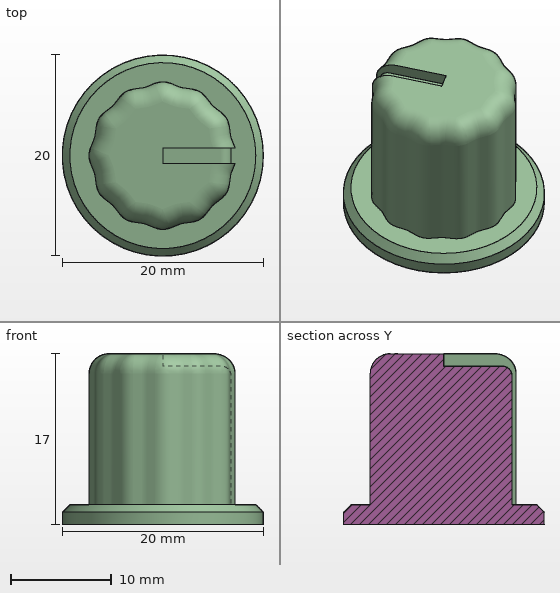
import cadquery as cq
import math

flange_diameter = 20.0
flange_height = 2.0
flange_chamfer = 0.75

total_height = 17.0
lobe_count = 12
star_tip_radius = 7.5
star_valley_radius = 7.0
flute_rounding = 2.0
crown_fillet = 2.0

groove_width = 1.52
groove_depth = 1.25
groove_wall_x = 6.8
groove_corner_radius = 1.0


def make_flange():
    """Round base disc with a chamfered upper rim."""
    disc = cq.Workplane("XY").circle(flange_diameter / 2).extrude(flange_height)
    return disc.faces(">Z").chamfer(flange_chamfer)


def star_points():
    """Alternating tips and valleys, starting with a tip on +X."""
    points = []
    for index in range(2 * lobe_count):
        radius = star_tip_radius if index % 2 == 0 else star_valley_radius
        angle = math.pi * index / lobe_count
        points.append((radius * math.cos(angle), radius * math.sin(angle)))
    return points


def make_grip():
    """Fluted column standing on the bottom plane, with a rounded crown."""
    star = cq.Workplane("XY").polyline(star_points()).close().extrude(total_height)
    fluted = star.edges("|Z").fillet(flute_rounding)
    return fluted.faces(">Z").edges().fillet(crown_fillet)


def make_groove():
    """Tool for the pointer groove, drawn in side profile and extruded across its width."""
    floor_z = total_height - groove_depth
    arc_x = groove_wall_x - groove_corner_radius
    arc_z = floor_z - groove_corner_radius
    half_diagonal = groove_corner_radius * math.sqrt(0.5)
    return (
        cq.Workplane("XZ")
        .moveTo(0, total_height)
        .lineTo(0, floor_z)
        .lineTo(arc_x, floor_z)
        .threePointArc((arc_x + half_diagonal, arc_z + half_diagonal), (groove_wall_x, arc_z))
        .lineTo(groove_wall_x, flange_height)
        .lineTo(star_tip_radius, flange_height)
        .lineTo(star_tip_radius, total_height)
        .close()
        .extrude(groove_width / 2, both=True)
    )


result = make_grip().union(make_flange()).cut(make_groove())